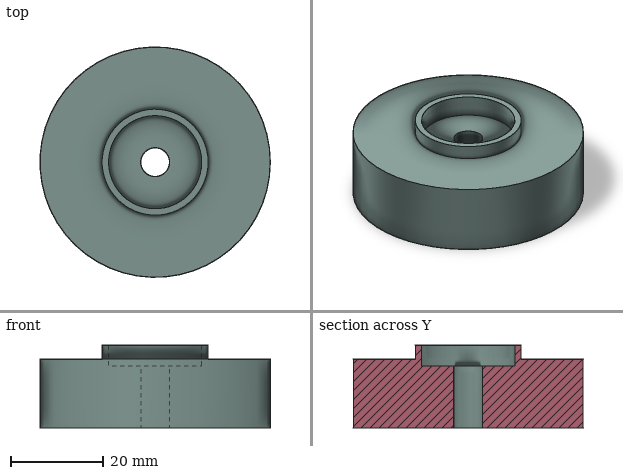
import cadquery as cq

body_diameter = 50.0
body_height = 15.0
collar_diameter = 23.0
collar_height = 3.0

recess_diameter = 20.2
recess_depth = 4.5
bore_diameter = 6.2

total_height = body_height + collar_height

body = cq.Workplane("XY").circle(body_diameter / 2).extrude(body_height)
collar = cq.Workplane("XY").circle(collar_diameter / 2).extrude(total_height)

recess = (
    cq.Workplane("XY")
    .workplane(offset=total_height - recess_depth)
    .circle(recess_diameter / 2)
    .extrude(recess_depth)
)
bore = cq.Workplane("XY").circle(bore_diameter / 2).extrude(total_height)

result = body.union(collar).cut(recess).cut(bore)